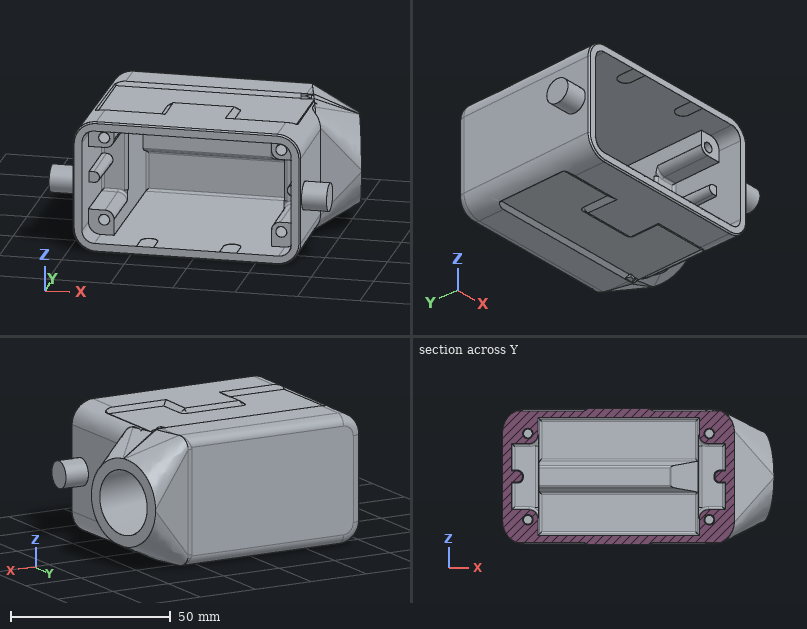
import cadquery as cq
import math

DRAFT = 0.5

BODY_LENGTH = 73.0
BODY_HEIGHT = 42.99
BODY_DEPTH = 57.1
BODY_CORNER = 7.5
BACK_FILLET = 3.5
RIM_CHAMFER = 0.5
WALL = 3.0

PEG_DIAMETER = 9.0
PEG_Y = 6.2
PEG_SPAN = 89.0

PANEL_FLOOR_Z = 20.0
PANEL_HALF_LENGTH = 31.8
PANEL_Y_MIN = 15.0
PANEL_Y_MAX = 41.6
TAB_HALF_LENGTH = 11.7
TAB_Y_MAX = 26.9
TAB_CORNER = 1.7
TAB_OVERSHOOT = 0.3
STEP_RUN = 1.8
STEP_RISE = 1.2

CAVITY_CORNER = 4.0
POST_Y = 9.0
SHELF_Y = 28.0
FLOOR_Y = BODY_DEPTH - WALL
DEEP_HALF_LENGTH = 25.3
SHELF_HALF_WIDTH = 10.4
POST_CORNER = 2.8
SHELF_EDGE_FILLET = 1.0
SHELF_EDGE_OVERLAP = 0.2
FLOOR_FILLET = 0.8

SCREW_X = 28.4
SCREW_Z = 13.5
SCREW_MOUTH_RADIUS = 1.75
SCREW_TIP_RADIUS = 1.4
SCREW_DEPTH = 10.0

KEY_TIP_X = 30.1
KEY_RADIUS = 1.75
KEY_Y = 10.0
KEY_DRAFT = 1.0

RELIEF_X = 13.3
RELIEF_WIDTH = 5.5
RELIEF_LENGTH = 8.5

RIDGE_TOP_HALF_WIDTH = 3.3
RIDGE_BASE_HALF_WIDTH = 5.05
RIDGE_RAMP_X = 16.3
RIDGE_HEIGHT = 4.3
RIDGE_RAMP_END_HEIGHT = 0.3
RIDGE_BURIED_DEPTH = 1.0

ENTRY_TILT = 15.0
ENTRY_RADIUS = 14.2
ENTRY_X_MAX = 48.66
ENTRY_Y_MAX = 61.28
ENTRY_LENGTH = 14.4
ENTRY_ROOT = 4.0
ENTRY_HALF_WIDTH = 21.0
ENTRY_STEPPED_HALF_WIDTH = PANEL_FLOOR_Z
ENTRY_CORNER = 4.0
ENTRY_SEAT_DROP = 6.0
ENTRY_BORE_RADIUS = 10.5
ENTRY_FACET_ANGLE = 1.0

body_half_length = BODY_LENGTH / 2
cavity_length = BODY_LENGTH - 2 * WALL
cavity_height = BODY_HEIGHT - 2 * WALL
draft_slope = math.tan(math.radians(DRAFT))
tilt = math.radians(ENTRY_TILT)


def mouth_plane(y=0.0):
    """Plane parallel to the mouth, facing into the hood (+Y)."""
    return cq.Workplane(cq.Plane(origin=(0, y, 0), xDir=(1, 0, 0), normal=(0, 1, 0)))


def drafted_box(length, height, depth, corner=0.0):
    sketch = cq.Sketch().rect(length, height)
    if corner:
        sketch = sketch.vertices().fillet(corner)
    return mouth_plane().placeSketch(sketch).extrude(depth, taper=DRAFT)


def make_shell_body():
    body = drafted_box(BODY_LENGTH, BODY_HEIGHT, BODY_DEPTH, BODY_CORNER)
    body = body.faces(">Y").edges().fillet(BACK_FILLET)
    return body.faces("<Y").edges().chamfer(RIM_CHAMFER)


def make_peg(side):
    base_x = body_half_length - WALL / 2
    length = PEG_SPAN / 2 - base_x
    peg = cq.Workplane("YZ", origin=(base_x, 0, 0)).center(PEG_Y, 0).circle(PEG_DIAMETER / 2).extrude(length)
    return peg if side > 0 else peg.mirror("YZ")


def make_panel_cut():
    """Pocket with sloped sides; a tab rising from its mouth side is left standing."""
    overshoot = 2 * STEP_RISE
    slope_angle = math.degrees(math.atan2(STEP_RUN, STEP_RISE))
    floor = cq.Workplane("XY", origin=(0, 0, PANEL_FLOOR_Z))
    pocket = (
        floor.center(0, (PANEL_Y_MIN + PANEL_Y_MAX) / 2)
        .rect(2 * PANEL_HALF_LENGTH, PANEL_Y_MAX - PANEL_Y_MIN)
        .extrude(overshoot, taper=-slope_angle)
    )
    tab_sketch = (
        cq.Sketch().rect(2 * TAB_HALF_LENGTH, 2 * TAB_Y_MAX).vertices().fillet(TAB_CORNER)
    )
    tab = floor.placeSketch(tab_sketch).extrude(STEP_RISE + TAB_OVERSHOOT, taper=slope_angle)
    return pocket.cut(tab)


def entry_plane(offset=0.0):
    """Plane square to the entry: local x is up the end face, local y is +Z, normal points outwards.

    Offset zero is the round end; negative offsets go into the hood.
    """
    center_x = ENTRY_X_MAX - ENTRY_RADIUS * math.sin(tilt) + offset * math.cos(tilt)
    center_y = ENTRY_Y_MAX - ENTRY_RADIUS * math.cos(tilt) + offset * math.sin(tilt)
    return cq.Plane(
        origin=(center_x, center_y, 0),
        xDir=(-math.sin(tilt), math.cos(tilt), 0),
        normal=(math.cos(tilt), math.sin(tilt), 0),
    )


def entry_sketch(offset=0.0):
    return cq.Workplane(entry_plane(offset))


def ring_of_arcs_and_sides(workplane, corners):
    """Closed outline of four arcs joined by four sides; each corner gives three arc points."""
    outline = workplane.moveTo(*corners[0][0])
    for index, (start, middle, end) in enumerate(corners):
        if index:
            outline = outline.lineTo(*start)
        outline = outline.threePointArc(middle, end)
    return outline.close()


def neck_corners(half_width):
    corners = []
    for quadrant in range(4):
        first = math.radians(90 * quadrant)
        sign_x = 1 if quadrant in (0, 3) else -1
        sign_y = 1 if quadrant in (0, 1) else -1
        center_x = sign_x * (ENTRY_RADIUS - ENTRY_CORNER)
        center_y = sign_y * (half_width - ENTRY_CORNER)
        angles = [first + step * math.pi / 4 for step in range(3)]
        corners.append([
            (center_x + ENTRY_CORNER * math.cos(a), center_y + ENTRY_CORNER * math.sin(a)) for a in angles
        ])
    return corners


def end_corners():
    corners = []
    for quadrant in range(4):
        angles = (90 * quadrant + ENTRY_FACET_ANGLE, 90 * quadrant + 45, 90 * quadrant + 90 - ENTRY_FACET_ANGLE)
        corners.append([
            (ENTRY_RADIUS * math.cos(math.radians(a)), ENTRY_RADIUS * math.sin(math.radians(a))) for a in angles
        ])
    return corners


def make_entry_loft(half_width):
    """Rounded rectangle at the neck blending to the round end, plus a straight root."""
    neck = ring_of_arcs_and_sides(entry_sketch(-ENTRY_LENGTH), neck_corners(half_width))
    end = ring_of_arcs_and_sides(entry_sketch(), end_corners())
    blend = cq.Workplane(cq.Solid.makeLoft([neck.val(), end.val()], True))
    return blend.union(neck.extrude(-ENTRY_ROOT))


def make_entry_upper_envelope():
    """Region above the sloped step that runs along the entry's sides."""
    slope = STEP_RUN / STEP_RISE
    margin = 1.0
    side_taper = (ENTRY_HALF_WIDTH - ENTRY_RADIUS) / ENTRY_LENGTH
    wires = []
    for offset in (-ENTRY_LENGTH - ENTRY_ROOT, 0.0):
        half_width = ENTRY_RADIUS - offset * side_taper
        outer = half_width + margin
        inner = half_width - STEP_RISE
        top = 2 * ENTRY_RADIUS
        outline = entry_sketch(offset).polyline([
            (top, outer), (slope * margin, outer), (-STEP_RUN, inner),
            (-STEP_RUN, -inner), (slope * margin, -outer), (top, -outer),
        ]).close()
        wires.append(outline.val())
    return cq.Workplane(cq.Solid.makeLoft(wires, True))


def make_entry():
    upper = make_entry_loft(ENTRY_HALF_WIDTH).intersect(make_entry_upper_envelope())
    return upper.union(make_entry_loft(ENTRY_STEPPED_HALF_WIDTH))


def make_entry_seat():
    """Cut that squares off the hood's corner at the neck section."""
    reach = 2 * ENTRY_RADIUS
    return (
        entry_sketch(-ENTRY_LENGTH)
        .center((reach - ENTRY_SEAT_DROP) / 2, 0)
        .rect(reach + ENTRY_SEAT_DROP, 2 * BODY_HEIGHT)
        .extrude(reach)
    )


def make_entry_bore():
    """Cable passage from the round end to the deep part of the cavity."""
    bore = entry_sketch().circle(ENTRY_BORE_RADIUS).extrude(-BODY_LENGTH / 2)
    inner_side = cq.Workplane("XY").box(2 * DEEP_HALF_LENGTH, 2 * BODY_LENGTH, BODY_HEIGHT)
    return bore.cut(inner_side)


def make_shelf_pocket():
    """Space between the posts: a band along X that flares around the rounded post corners."""
    end_x = cavity_length / 2
    arc_x = DEEP_HALF_LENGTH + POST_CORNER
    flare_z = SHELF_HALF_WIDTH + POST_CORNER
    arc_middle_x = arc_x - POST_CORNER * math.cos(math.pi / 4)
    arc_middle_z = flare_z - POST_CORNER * math.sin(math.pi / 4)
    pocket = (
        mouth_plane()
        .moveTo(end_x, -SHELF_HALF_WIDTH)
        .lineTo(end_x, SHELF_HALF_WIDTH)
        .lineTo(arc_x, SHELF_HALF_WIDTH)
        .threePointArc((arc_middle_x, arc_middle_z), (DEEP_HALF_LENGTH, flare_z))
        .lineTo(-DEEP_HALF_LENGTH, flare_z)
        .threePointArc((-arc_middle_x, arc_middle_z), (-arc_x, SHELF_HALF_WIDTH))
        .lineTo(-end_x, SHELF_HALF_WIDTH)
        .lineTo(-end_x, -SHELF_HALF_WIDTH)
        .lineTo(-arc_x, -SHELF_HALF_WIDTH)
        .threePointArc((-arc_middle_x, -arc_middle_z), (-DEEP_HALF_LENGTH, -flare_z))
        .lineTo(DEEP_HALF_LENGTH, -flare_z)
        .threePointArc((arc_middle_x, -arc_middle_z), (arc_x, -SHELF_HALF_WIDTH))
        .close()
        .extrude(SHELF_Y, taper=DRAFT)
    )
    return pocket.faces(">Y").edges().fillet(FLOOR_FILLET)


def make_shelf_edge_rounding(side):
    """Sliver of material to take off the edge between a shelf and the deep part."""
    wall_x = DEEP_HALF_LENGTH - SHELF_Y * draft_slope
    center_x = wall_x + SHELF_EDGE_FILLET
    center_y = SHELF_Y + SHELF_EDGE_FILLET
    diagonal = SHELF_EDGE_FILLET * math.cos(math.pi / 4)
    sliver = (
        cq.Workplane("XY")
        .moveTo(wall_x, center_y)
        .threePointArc((center_x - diagonal, center_y - diagonal), (center_x, SHELF_Y))
        .lineTo(center_x, SHELF_Y - SHELF_EDGE_OVERLAP)
        .lineTo(wall_x - SHELF_EDGE_OVERLAP, SHELF_Y - SHELF_EDGE_OVERLAP)
        .lineTo(wall_x - SHELF_EDGE_OVERLAP, center_y)
        .close()
        .extrude(SHELF_HALF_WIDTH - FLOOR_FILLET, both=True)
    )
    return sliver if side > 0 else sliver.mirror("YZ")


def make_cavity():
    mouth = drafted_box(cavity_length, cavity_height, POST_Y, CAVITY_CORNER)
    shelf = make_shelf_pocket()
    deep = drafted_box(2 * DEEP_HALF_LENGTH, cavity_height, FLOOR_Y)
    deep = deep.faces(">Y").edges().fillet(FLOOR_FILLET).cut(make_ridge())
    cavity = mouth.union(shelf).union(deep)
    for side in (-1, 1):
        cavity = cavity.union(make_shelf_edge_rounding(side))
    return cavity


def make_ridge():
    """Raised strip on the cavity floor that ramps down towards the cable entry."""
    top_y = FLOOR_Y - RIDGE_HEIGHT
    ramp_end_y = FLOOR_Y - RIDGE_RAMP_END_HEIGHT
    buried_y = FLOOR_Y + RIDGE_BURIED_DEPTH
    foot_half_width = RIDGE_BASE_HALF_WIDTH + 2 * FLOOR_FILLET
    strip = cq.Workplane("YZ", origin=(-DEEP_HALF_LENGTH, 0, 0)).polyline([
        (buried_y, -foot_half_width), (FLOOR_Y, -foot_half_width), (FLOOR_Y, -RIDGE_BASE_HALF_WIDTH),
        (top_y, -RIDGE_TOP_HALF_WIDTH), (top_y, RIDGE_TOP_HALF_WIDTH),
        (FLOOR_Y, RIDGE_BASE_HALF_WIDTH), (FLOOR_Y, foot_half_width), (buried_y, foot_half_width),
    ]).close().extrude(2 * DEEP_HALF_LENGTH)
    rounded_zone = cq.selectors.BoxSelector(
        (-DEEP_HALF_LENGTH, top_y - FLOOR_FILLET, -RIDGE_BASE_HALF_WIDTH - FLOOR_FILLET),
        (DEEP_HALF_LENGTH, FLOOR_Y + FLOOR_FILLET, RIDGE_BASE_HALF_WIDTH + FLOOR_FILLET),
    )
    strip = strip.edges("|X").edges(rounded_zone).fillet(FLOOR_FILLET)
    side = cq.Workplane("XY").polyline([
        (-DEEP_HALF_LENGTH, top_y), (RIDGE_RAMP_X, top_y), (DEEP_HALF_LENGTH, ramp_end_y),
        (DEEP_HALF_LENGTH, buried_y), (-DEEP_HALF_LENGTH, buried_y),
    ]).close().extrude(foot_half_width, both=True)
    ramp_start = cq.selectors.NearestToPointSelector((RIDGE_RAMP_X, top_y, 0))
    side = side.edges("|Z").edges(ramp_start).fillet(FLOOR_FILLET)
    return strip.intersect(side)


def make_key(side):
    """Half-round rib standing on a shelf against the end wall."""
    length = SHELF_Y - KEY_Y
    wall_x = cavity_length / 2 + WALL / 2
    arc_center_x = KEY_TIP_X + KEY_RADIUS
    key = (
        mouth_plane(KEY_Y)
        .moveTo(wall_x, -KEY_RADIUS)
        .lineTo(arc_center_x, -KEY_RADIUS)
        .threePointArc((KEY_TIP_X, 0), (arc_center_x, KEY_RADIUS))
        .lineTo(wall_x, KEY_RADIUS)
        .close()
        .extrude(length, taper=-KEY_DRAFT)
    )
    return key if side > 0 else key.mirror("YZ")


def make_screw_hole(x, z):
    return cq.Workplane(cq.Solid.makeCone(
        SCREW_MOUTH_RADIUS, SCREW_TIP_RADIUS, SCREW_DEPTH,
        pnt=cq.Vector(x, POST_Y, z), dir=cq.Vector(0, 1, 0),
    ))


def make_relief(x):
    """Undrafted round-ended slot in both long walls, running in from the mouth."""
    radius = RELIEF_WIDTH / 2
    straight = RELIEF_LENGTH - radius
    return (
        cq.Workplane("XY")
        .moveTo(x - radius, 0)
        .lineTo(x - radius, straight)
        .threePointArc((x, RELIEF_LENGTH), (x + radius, straight))
        .lineTo(x + radius, 0)
        .close()
        .extrude(cavity_height / 2, both=True)
    )


hood = make_shell_body().cut(make_panel_cut()).cut(make_panel_cut().mirror("XY"))
hood = hood.cut(make_entry_seat()).union(make_entry()).cut(make_entry_bore())
hood = hood.cut(make_cavity())
for side in (-1, 1):
    hood = hood.union(make_peg(side))
    hood = hood.union(make_key(side))
    hood = hood.cut(make_relief(side * RELIEF_X))
    for screw_z in (-SCREW_Z, SCREW_Z):
        hood = hood.cut(make_screw_hole(side * SCREW_X, screw_z))
result = hood